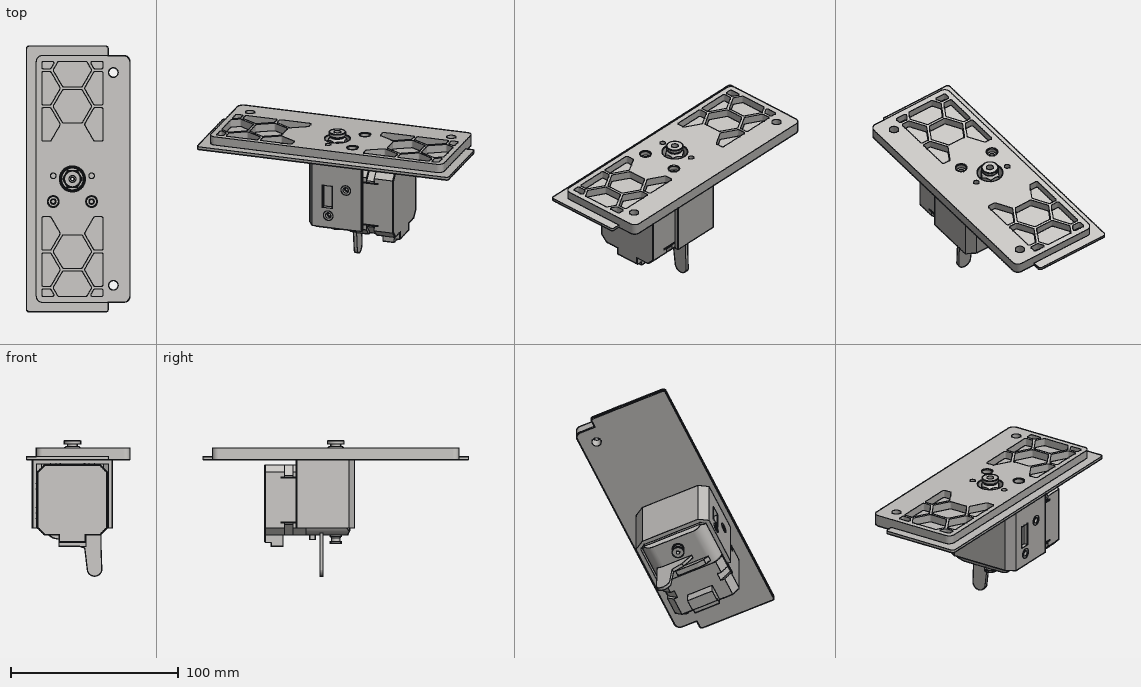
import cadquery as cq
import math


PLATE_LEFT = -21.5
PLATE_RIGHT = 34.4
PLATE_HALF_LENGTH = 73.6
PLATE_THICKNESS = 7.3
PLATE_CORNER_RADIUS = 3.6
FLANGE_LEFT = -27.5
FLANGE_RIGHT = 21.4
FLANGE_HALF_LENGTH = 79.3
FLANGE_THICKNESS = 2.0
FLANGE_CORNER_RADIUS = 1.6
PLATE_BOTTOM_CHAMFER = 0.5

WALL = 2.5
BOX_HALF_WIDTH = 24.0
BOX_BACK = 11.3
BOX_FRONT = -23.6
BOX_BOTTOM = -47.9
BOX_BACK_CHAMFER_X = 5.7
BOX_BACK_CHAMFER_Y = 3.5
CAVITY_CHAMFER_X = 3.0
CAVITY_CHAMFER_Y = 2.2
BOX_FRONT_CHAMFER = 0.5
ROOF_BOTTOM = -9.5

HEX_ACROSS_FLATS = 20.0
HEX_RIB = 1.6
HEX_PITCH = HEX_ACROSS_FLATS + HEX_RIB
HEX_COLUMN_SPACING = HEX_PITCH * math.cos(math.radians(30))
FIRST_HEX_Y = 43.3
POCKET_DEPTH = 4.8
POCKET_HALF_WIDTH = 18.2
POCKET_OUTER_Y = 70.1
POCKET_CORNER_RADIUS = 1.0

PLATE_HOLE_DIAMETER = 5.5
PLATE_HOLE_X = 24.5
PLATE_HOLE_Y = 63.5
SCREW_X = 11.4
SCREW_Y = -13.5
PIN_HOLE_Y = 1.9
PIN_HOLE_DIAMETER = 3.3
SCREW_CLEARANCE = 3.3
SCREW_THREAD = 2.5
SCREW_THREAD_DEPTH = 4.8
SCREW_HEAD_DIAMETER = 6.0
SCREW_HEAD_DEPTH = 3.0
SCREW_RIM_CHAMFER = 0.5
COLLET_HOLE_DIAMETER = 14.9
COLLET_HOLE_CHAMFER = 0.3

WINDOW_BACK = 1.1
WINDOW_FRONT = -4.6
WINDOW_TOP = -21.4
WINDOW_BOTTOM = -35.5
WINDOW_CHAMFER = 0.5
SIDE_SCREWS = [(-13.5, -23.0), (-2.4, -40.5)]
SIDE_RECESS_DEPTH = 0.2

MOTOR_WIDTH = 41.9
MOTOR_HALF_WIDTH = MOTOR_WIDTH / 2
MOTOR_TOP = -10.2
MOTOR_BOTTOM = MOTOR_TOP - MOTOR_WIDTH
MOTOR_MIDDLE = (MOTOR_TOP + MOTOR_BOTTOM) / 2
MOTOR_BACK = -17.6
MOTOR_FRONT = -42.5
MOTOR_CORNER = 4.3
MOTOR_EDGE_CHAMFER = 0.5
CONNECTOR_HALF_WIDTH = 8.1
CONNECTOR_BACK = -31.4
CONNECTOR_STEP = -38.5
CONNECTOR_BOTTOM = -58.8
CONNECTOR_STEP_BOTTOM = -56.5
NOTCH_BACK = -25.5
NOTCH_FRONT = -30.5
NOTCH_LEG = 6.3
NOTCH_FOOT = 1.5
NOTCH_FOOT_DEPTH = 0.5
GROOVE_FRONT = -32.7
GROOVE_WIDTH = 0.5
GROOVE_DEPTH = 0.3

GEARBOX_BACK = 8.4
GEARBOX_SIDE_CHAMFER = 2.7
GEARBOX_CORNER_RADIUS = 8.0
GEARBOX_BACK_CHAMFER = 1.3
GEARBOX_BACK_CHAMFER_HEIGHT = 2.7
FILAMENT_HOLE = 2.0
TUBE_HOLE = 4.1
TUBE_HOLE_DEPTH = 12.7
COLLET_TOP = 4.3
COLLET_CAP_DIAMETER = 10.0
COLLET_CAP_BOTTOM = 2.2
COLLET_CAP_CHAMFER = 0.3
COLLET_NECK_DIAMETER = 6.0
NUT_ACROSS_FLATS = 10.2
NUT_TOP = 0.8
NUT_FACE_DIAMETER = 8.0
BOSS_DIAMETER = 14.0
BOSS_HEIGHT = 2.2
BOSS_CHAMFER = 0.5
OUTLET_FLANGE_DIAMETER = 7.0
OUTLET_SHOULDER_DIAMETER = 6.0
OUTLET_FLANGE_BOTTOM = -52.8
OUTLET_NECK_DIAMETER = 5.0
OUTLET_COLLAR_DIAMETER = 7.0
OUTLET_NECK_TOP = -54.0
OUTLET_COLLAR_TOP = -56.0
OUTLET_BOTTOM = -57.0
FOOT_BACK = -12.2
FOOT_THICKNESS = 3.3
FOOT_LEFT = -14.3
FOOT_RIGHT = 7.1
FOOT_BOTTOM = -54.7
FOOT_KNEE = (-11.3, -54.0)
LEVER_BACK = -7.5
LEVER_THICKNESS = 2.0
LEVER_LEFT = -5.5
LEVER_RIGHT = 17.1
LEVER_ARM_BEND = (0.8, -57.5)
LEVER_ARM_END = (7.3, -59.8)
LEVER_FLARE_TOP = -58.7
LEVER_TIP_LEFT = 8.9
LEVER_TIP_RIGHT = 17.6
LEVER_TIP_MIDDLE = (LEVER_TIP_LEFT + LEVER_TIP_RIGHT) / 2
LEVER_TIP_TOP = -73.0
LEVER_BOTTOM = -76.6


def block(x0, x1, y0, y1, z0, z1):
    """Box between the given limits."""
    return cq.Workplane("XY").box(x1 - x0, y1 - y0, z1 - z0, centered=False).translate((x0, y0, z0))


def post(diameter, z0, z1, x=0.0, y=0.0):
    """Upright cylinder between two heights."""
    return cq.Workplane("XY", origin=(x, y, z0)).circle(diameter / 2).extrude(z1 - z0)


def side_post(diameter, y, z, x0, x1):
    """Cylinder along X between x0 and x1."""
    return cq.Workplane("YZ", origin=(x0, y, z)).circle(diameter / 2).extrude(x1 - x0)


def hexagon(across_flats, x, y, z0, z1):
    """Upright hexagonal prism with flats facing +Y and -Y."""
    across_corners = across_flats / math.cos(math.radians(30))
    return cq.Workplane("XY", origin=(x, y, z0)).polygon(6, across_corners).extrude(z1 - z0)


def rim_cone(diameter, chamfer, x=0.0, y=0.0):
    """Conical cutter that chamfers the rim of a hole in the plate top."""
    rim = cq.Workplane("XY", origin=(x, y, 0)).circle(diameter / 2 + chamfer)
    return rim.workplane(offset=-chamfer).circle(diameter / 2).loft()


def rounded_plate(x0, x1, half_length, z0, z1, radius):
    """Plate with round corners and a chamfered lower edge."""
    plate = block(x0, x1, -half_length, half_length, z0, z1).edges("|Z").fillet(radius)
    return plate.faces("<Z").edges().chamfer(PLATE_BOTTOM_CHAMFER)


def honeycomb_pockets():
    """Honeycomb of hexagons at the +Y end, trimmed to a rectangle, as one cutter per cell."""
    limits = block(-POCKET_HALF_WIDTH, POCKET_HALF_WIDTH, 0, POCKET_OUTER_Y, -POCKET_DEPTH, 0)
    middle = [(0, FIRST_HEX_Y + row * HEX_PITCH) for row in range(2)]
    sides = [
        (side * HEX_COLUMN_SPACING, FIRST_HEX_Y + (row - 0.5) * HEX_PITCH)
        for side in (-1, 1)
        for row in range(3)
    ]
    cells = []
    for x, y in middle + sides:
        cell = hexagon(HEX_ACROSS_FLATS, x, y, -POCKET_DEPTH, 0).intersect(limits)
        cells.append(cell.edges("|Z").fillet(POCKET_CORNER_RADIUS))
    return cells


def bevel_back_edges(body, chamfer_x, chamfer_y):
    """Chamfer both upright edges at the back, by different amounts along X and Y."""
    bounds = body.val().BoundingBox()
    corner = (
        cq.Workplane("XY", origin=(0, 0, bounds.zmin))
        .moveTo(bounds.xmax, bounds.ymax)
        .lineTo(bounds.xmax - chamfer_x, bounds.ymax)
        .lineTo(bounds.xmax, bounds.ymax - chamfer_y)
        .close()
        .extrude(bounds.zlen)
    )
    return body.cut(corner).cut(corner.mirror("YZ"))


def make_box():
    """Open-bottomed box below the plate, closed at the back and open at the front."""
    box = block(-BOX_HALF_WIDTH, BOX_HALF_WIDTH, BOX_FRONT, BOX_BACK, BOX_BOTTOM, -PLATE_THICKNESS)
    box = bevel_back_edges(box, BOX_BACK_CHAMFER_X, BOX_BACK_CHAMFER_Y)
    box = box.edges("|Z and <Y").chamfer(BOX_FRONT_CHAMFER)
    inner = BOX_HALF_WIDTH - WALL
    cavity = block(-inner, inner, BOX_FRONT, BOX_BACK - WALL, BOX_BOTTOM, ROOF_BOTTOM)
    return box.cut(bevel_back_edges(cavity, CAVITY_CHAMFER_X, CAVITY_CHAMFER_Y))


def side_window():
    """Cutter for the window in the -X wall, widened along its upright edges outside."""
    outside = -BOX_HALF_WIDTH
    outline = [
        (outside, WINDOW_FRONT - WINDOW_CHAMFER),
        (outside + WINDOW_CHAMFER, WINDOW_FRONT),
        (outside + WALL, WINDOW_FRONT),
        (outside + WALL, WINDOW_BACK),
        (outside + WINDOW_CHAMFER, WINDOW_BACK),
        (outside, WINDOW_BACK + WINDOW_CHAMFER),
    ]
    window = cq.Workplane("XY", origin=(0, 0, WINDOW_BOTTOM)).polyline(outline).close()
    return window.extrude(WINDOW_TOP - WINDOW_BOTTOM)


def make_mount():
    flange_top = FLANGE_THICKNESS - PLATE_THICKNESS
    mount = rounded_plate(
        PLATE_LEFT, PLATE_RIGHT, PLATE_HALF_LENGTH, -PLATE_THICKNESS, 0, PLATE_CORNER_RADIUS
    )
    mount = mount.union(rounded_plate(
        FLANGE_LEFT, FLANGE_RIGHT, FLANGE_HALF_LENGTH, -PLATE_THICKNESS, flange_top, FLANGE_CORNER_RADIUS
    ))
    mount = mount.union(make_box())

    for cell in honeycomb_pockets():
        mount = mount.cut(cell).cut(cell.mirror("XZ"))

    for side in (-1, 1):
        hole_y = side * PLATE_HOLE_Y
        screw_x = side * SCREW_X
        mount = mount.cut(post(PLATE_HOLE_DIAMETER, -PLATE_THICKNESS, 0, PLATE_HOLE_X, hole_y))
        mount = mount.cut(post(PIN_HOLE_DIAMETER, ROOF_BOTTOM, 0, screw_x, PIN_HOLE_Y))
        mount = mount.cut(post(SCREW_CLEARANCE, ROOF_BOTTOM, 0, screw_x, SCREW_Y))
        mount = mount.cut(post(SCREW_HEAD_DIAMETER, -SCREW_HEAD_DEPTH, 0, screw_x, SCREW_Y))
        mount = mount.cut(rim_cone(SCREW_HEAD_DIAMETER, SCREW_RIM_CHAMFER, screw_x, SCREW_Y))

    mount = mount.cut(post(COLLET_HOLE_DIAMETER, ROOF_BOTTOM, 0))
    mount = mount.cut(rim_cone(COLLET_HOLE_DIAMETER, COLLET_HOLE_CHAMFER))

    outside = -BOX_HALF_WIDTH
    mount = mount.cut(side_window())
    for y, z in SIDE_SCREWS:
        mount = mount.cut(side_post(SCREW_CLEARANCE, y, z, outside, outside + WALL))
        mount = mount.cut(side_post(SCREW_HEAD_DIAMETER, y, z, outside, outside + SIDE_RECESS_DEPTH))
    return mount


def corner_notch():
    """Cutter for the sloped notch in the upper -X corner of the motor."""
    edge = -MOTOR_HALF_WIDTH
    foot_x = edge + NOTCH_FOOT_DEPTH
    foot_z = MOTOR_TOP - NOTCH_LEG
    outline = [
        (edge, MOTOR_TOP),
        (foot_x + NOTCH_LEG, MOTOR_TOP),
        (foot_x, foot_z),
        (edge, foot_z - NOTCH_FOOT),
    ]
    notch = cq.Workplane("XZ", origin=(0, NOTCH_BACK, 0)).polyline(outline).close()
    return notch.extrude(NOTCH_BACK - NOTCH_FRONT)


def side_groove():
    """Cutter for the shallow groove along the foot of the upper -X notch."""
    groove_bottom = MOTOR_TOP - NOTCH_LEG - NOTCH_FOOT
    edge = -MOTOR_HALF_WIDTH
    return block(
        edge, edge + GROOVE_DEPTH, GROOVE_FRONT, MOTOR_BACK, groove_bottom, groove_bottom + GROOVE_WIDTH
    )


def make_motor():
    half = MOTOR_HALF_WIDTH
    motor = block(-half, half, MOTOR_FRONT, MOTOR_BACK, MOTOR_BOTTOM, MOTOR_TOP)
    motor = motor.edges("|Y").chamfer(MOTOR_CORNER)
    plug = CONNECTOR_HALF_WIDTH
    motor = motor.union(block(-plug, plug, MOTOR_FRONT, CONNECTOR_BACK, CONNECTOR_STEP_BOTTOM, MOTOR_MIDDLE))
    motor = motor.faces("<Y").edges().chamfer(MOTOR_EDGE_CHAMFER)
    motor = motor.union(block(-plug, plug, CONNECTOR_STEP, CONNECTOR_BACK, CONNECTOR_BOTTOM, MOTOR_MIDDLE))

    for cutter in (corner_notch(), side_groove()):
        lower = cutter.mirror("XY", (0, 0, MOTOR_MIDDLE))
        for piece in (cutter, lower):
            motor = motor.cut(piece).cut(piece.mirror("YZ"))
    return motor


def make_gearbox():
    """Housing of the extruder with rounded long edges and bevelled back edges."""
    half = MOTOR_HALF_WIDTH
    gearbox = block(-half, half, MOTOR_BACK, GEARBOX_BACK, MOTOR_BOTTOM, MOTOR_TOP)
    gearbox = bevel_back_edges(gearbox, GEARBOX_SIDE_CHAMFER, GEARBOX_SIDE_CHAMFER)
    gearbox = gearbox.edges("|Y").fillet(GEARBOX_CORNER_RADIUS)
    bevel = (
        cq.Workplane("YZ", origin=(-half, 0, 0))
        .moveTo(GEARBOX_BACK, MOTOR_BOTTOM)
        .lineTo(GEARBOX_BACK - GEARBOX_BACK_CHAMFER, MOTOR_BOTTOM)
        .lineTo(GEARBOX_BACK, MOTOR_BOTTOM + GEARBOX_BACK_CHAMFER_HEIGHT)
        .close()
        .extrude(MOTOR_WIDTH)
    )
    return gearbox.cut(bevel)


def make_collet():
    """Filament inlet: round boss, hexagonal nut with a turned face, neck and release cap."""
    boss = post(BOSS_DIAMETER, MOTOR_TOP, MOTOR_TOP + BOSS_HEIGHT)
    boss = boss.faces(">Z").edges().chamfer(BOSS_CHAMFER)
    nut = hexagon(NUT_ACROSS_FLATS, 0, 0, MOTOR_TOP, NUT_TOP)
    turned_height = NUT_TOP - MOTOR_TOP
    turned = (
        cq.Workplane("XZ")
        .moveTo(0, MOTOR_TOP)
        .lineTo(NUT_FACE_DIAMETER / 2 + turned_height, MOTOR_TOP)
        .lineTo(NUT_FACE_DIAMETER / 2, NUT_TOP)
        .lineTo(0, NUT_TOP)
        .close()
        .revolve(360, (0, 0), (0, 1))
    )
    cap = post(COLLET_CAP_DIAMETER, COLLET_CAP_BOTTOM, COLLET_TOP)
    cap = cap.faces(">Z").edges().chamfer(COLLET_CAP_CHAMFER)
    neck = post(COLLET_NECK_DIAMETER, NUT_TOP, COLLET_CAP_BOTTOM)
    return boss.union(nut.intersect(turned)).union(neck).union(cap)


def make_outlet():
    """Turned filament outlet below the gearbox."""
    return (
        cq.Workplane("XZ")
        .moveTo(0, MOTOR_BOTTOM)
        .lineTo(OUTLET_FLANGE_DIAMETER / 2, MOTOR_BOTTOM)
        .lineTo(OUTLET_FLANGE_DIAMETER / 2, OUTLET_FLANGE_BOTTOM)
        .lineTo(OUTLET_SHOULDER_DIAMETER / 2, OUTLET_FLANGE_BOTTOM)
        .lineTo(OUTLET_NECK_DIAMETER / 2, OUTLET_NECK_TOP)
        .lineTo(OUTLET_NECK_DIAMETER / 2, OUTLET_COLLAR_TOP)
        .lineTo(OUTLET_COLLAR_DIAMETER / 2, OUTLET_COLLAR_TOP)
        .lineTo(OUTLET_COLLAR_DIAMETER / 2, OUTLET_BOTTOM)
        .lineTo(0, OUTLET_BOTTOM)
        .close()
        .revolve(360, (0, 0), (0, 1))
    )


def make_lever():
    """Flat release lever: a sloping arm and a tapered tongue with a round end."""
    return (
        cq.Workplane("XZ", origin=(0, LEVER_BACK, 0))
        .moveTo(LEVER_LEFT, MOTOR_BOTTOM)
        .lineTo(*LEVER_ARM_BEND)
        .lineTo(*LEVER_ARM_END)
        .lineTo(LEVER_TIP_LEFT, LEVER_TIP_TOP)
        .threePointArc((LEVER_TIP_MIDDLE, LEVER_BOTTOM), (LEVER_TIP_RIGHT, LEVER_TIP_TOP))
        .lineTo(LEVER_RIGHT, LEVER_FLARE_TOP)
        .lineTo(LEVER_RIGHT, MOTOR_MIDDLE)
        .lineTo(LEVER_LEFT, MOTOR_MIDDLE)
        .close()
        .extrude(LEVER_THICKNESS)
    )


def make_foot():
    """Low foot under the gearbox with a sloped lower corner."""
    return (
        cq.Workplane("XZ", origin=(0, FOOT_BACK, 0))
        .moveTo(FOOT_LEFT, MOTOR_BOTTOM)
        .lineTo(*FOOT_KNEE)
        .lineTo(-FOOT_RIGHT, FOOT_BOTTOM)
        .lineTo(FOOT_RIGHT, FOOT_BOTTOM)
        .lineTo(FOOT_RIGHT, MOTOR_MIDDLE)
        .lineTo(FOOT_LEFT, MOTOR_MIDDLE)
        .close()
        .extrude(FOOT_THICKNESS)
    )


def make_extruder():
    extruder = make_gearbox()
    for part in (make_collet(), make_outlet(), make_lever(), make_foot()):
        extruder = extruder.union(part)
    extruder = extruder.cut(post(FILAMENT_HOLE, OUTLET_BOTTOM, COLLET_TOP))
    extruder = extruder.cut(post(TUBE_HOLE, COLLET_TOP - TUBE_HOLE_DEPTH, COLLET_TOP))
    for x in (-SCREW_X, SCREW_X):
        extruder = extruder.cut(post(SCREW_THREAD, MOTOR_TOP - SCREW_THREAD_DEPTH, MOTOR_TOP, x, SCREW_Y))
    side = -MOTOR_HALF_WIDTH
    for y, z in SIDE_SCREWS:
        extruder = extruder.cut(side_post(SCREW_THREAD, y, z, side, side + SCREW_THREAD_DEPTH))
    return extruder


mount = make_mount()
extruder = make_extruder()
motor = make_motor()

result = cq.Compound.makeCompound([mount.val(), extruder.val(), motor.val()])